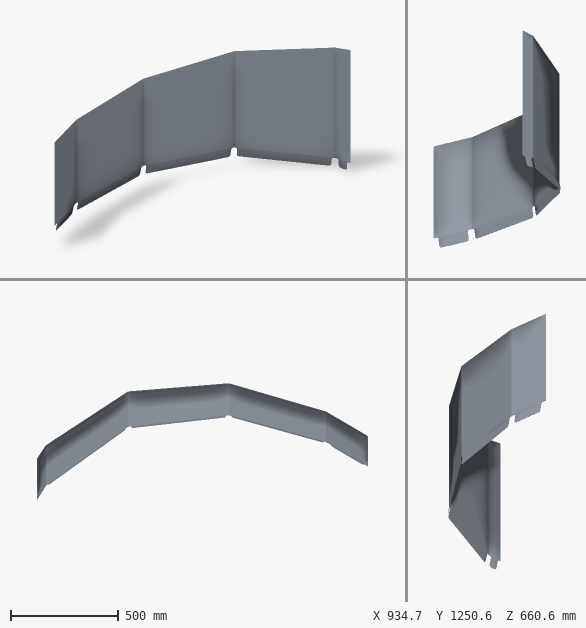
import cadquery as cq
import math

PANELS = [(229.5, 90), (471.5, 74.99), (472.5, 52.5), (471.5, 22.5), (78.5, 0)]
THICKNESS = 1.0

START_HEIGHT = 451.0
EDGE_ANGLE = 5
EDGE_SLOPE = math.tan(math.radians(EDGE_ANGLE))

FLANGES = [(29, 28, 11), (14, 13, 11), (17, 15, 9), (14, 16, 10), (18, 17, 10.5)]
FLANGE_DEPTH = 51.5
ROOT_RADIUS = 10.5
TIP_RADIUS = 12.0

ARC_BOW = 1 - math.sqrt(0.5)


def fold_points():
    """Plan positions of the panel ends on the inner face."""
    points = [(0.0, 0.0)]
    for length, heading in PANELS:
        angle = math.radians(heading)
        x, y = points[-1]
        points.append((x + length * math.cos(angle), y + length * math.sin(angle)))
    return points


def outer_points(inner):
    """Inner plan points moved out by the sheet thickness, mitred at each fold."""
    headings = [heading for _, heading in PANELS]
    before = [headings[0]] + headings
    after = headings + [headings[-1]]
    moved = []
    for (x, y), first, second in zip(inner, before, after):
        outward = math.radians((first + second) / 2 + 90)
        reach = THICKNESS / math.cos(math.radians((first - second) / 2))
        moved.append((x + reach * math.cos(outward), y + reach * math.sin(outward)))
    return moved


def make_wall(inner):
    """Upright folded sheet trimmed by the sloping top and bottom planes."""
    outline = inner + outer_points(inner)[::-1]
    end_x, end_y = inner[-1]
    end_drop = end_x * EDGE_SLOPE
    start_rise = THICKNESS * EDGE_SLOPE
    full_height = START_HEIGHT + 2 * end_drop
    sheet = cq.Workplane("XY").workplane(offset=-end_drop).polyline(outline).close().extrude(full_height)
    side = [
        (-THICKNESS, start_rise),
        (end_x, -end_drop),
        (end_x, START_HEIGHT + end_drop),
        (-THICKNESS, START_HEIGHT - start_rise),
    ]
    trim = cq.Workplane("XZ").polyline(side).close().extrude(-(end_y + THICKNESS))
    return sheet.intersect(trim)


def make_flange(start, end, start_inset, end_inset, bend):
    """Tab hanging from the inner bottom edge between two folds, bent outward."""
    base = cq.Vector(start[0], start[1], -start[0] * EDGE_SLOPE)
    along = cq.Vector(end[0], end[1], -end[0] * EDGE_SLOPE) - base
    outward = cq.Vector(start[1] - end[1], end[0] - start[0], 0)
    plane = cq.Plane(origin=base, xDir=along, normal=outward).rotated((bend, 0, 0))

    left = start_inset
    right = along.Length - end_inset
    tip = FLANGE_DEPTH - TIP_RADIUS
    root_bow = ARC_BOW * ROOT_RADIUS
    tip_bow = ARC_BOW * TIP_RADIUS
    return (
        cq.Workplane(plane)
        .moveTo(left - ROOT_RADIUS, 0)
        .threePointArc((left - root_bow, root_bow), (left, ROOT_RADIUS))
        .lineTo(left, tip)
        .threePointArc((left + tip_bow, FLANGE_DEPTH - tip_bow), (left + TIP_RADIUS, FLANGE_DEPTH))
        .lineTo(right - TIP_RADIUS, FLANGE_DEPTH)
        .threePointArc((right - tip_bow, FLANGE_DEPTH - tip_bow), (right, tip))
        .lineTo(right, ROOT_RADIUS)
        .threePointArc((right + root_bow, root_bow), (right + ROOT_RADIUS, 0))
        .close()
        .extrude(THICKNESS)
    )


folds = fold_points()
result = make_wall(folds)
for start, end, flange in zip(folds, folds[1:], FLANGES):
    result = result.union(make_flange(start, end, *flange))